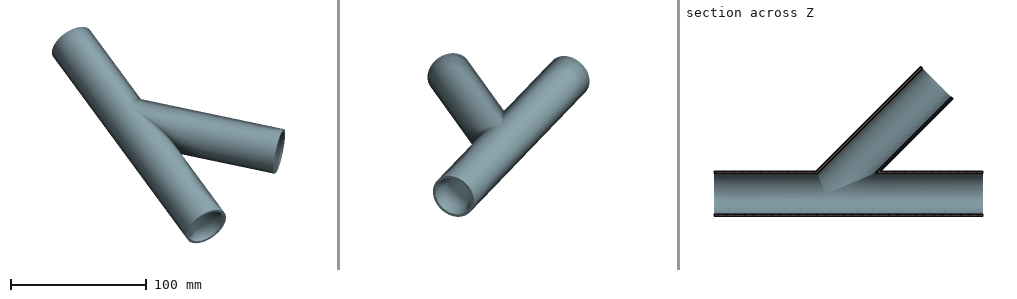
import cadquery as cq
import math

run_length = 198.0
outer_diameter = 33.7
bore_diameter = 29.7
branch_offset = 82.4
branch_angle = 45.0
branch_length = 115.6

angle = math.radians(branch_angle)
run_plane = cq.Plane(origin=(-branch_offset, 0, 0), xDir=(0, 1, 0), normal=(1, 0, 0))
branch_plane = cq.Plane(origin=(0, 0, 0), xDir=(0, 0, 1), normal=(math.cos(angle), math.sin(angle), 0))


def rod(plane, diameter, length):
    """Solid cylinder that starts on the plane and runs along its normal."""
    return cq.Workplane(plane).circle(diameter / 2).extrude(length)


def wye(diameter):
    """Run and branch cylinders of one diameter, joined where their axes cross."""
    return rod(run_plane, diameter, run_length).union(rod(branch_plane, diameter, branch_length))


result = wye(outer_diameter).cut(wye(bore_diameter))